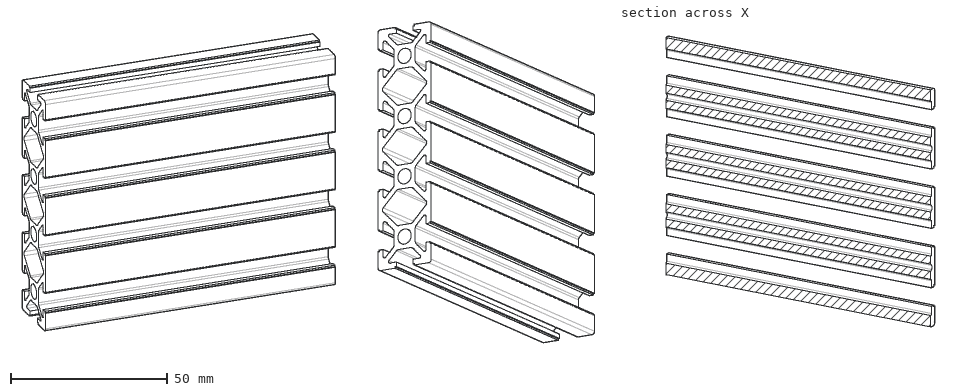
import cadquery as cq
import math

CELL = 20.0
CELL_COUNT = 4
LENGTH = 100.0
HEIGHT = CELL * CELL_COUNT
HALF_CELL = CELL / 2

SLOT_OPENING = 6.2
LIP_THICKNESS = 2.0
CORE_WIDTH = 8.0
WEB_THICKNESS = 1.8
BORE_DIAMETER = 5.0

STEP_WIDTH = 0.5
STEP_DEPTH = 0.5

OUTER_CORNER_RADIUS = 1.0
CORE_CORNER_RADIUS = 1.0
SLOT_CORNER_RADIUS = 0.5
HOLLOW_CORNER_RADIUS = 1.0

CORE_HALF = CORE_WIDTH / 2
WEB_OFFSET = WEB_THICKNESS / math.sqrt(2)
CUT_MARGIN = 1.0


def extrude_along_y(outline):
    """Extrude an XZ outline over the full length, centred on Y = 0."""
    return outline.extrude(LENGTH / 2, both=True)


def make_block():
    """Plain bar with its four long corners rounded."""
    block = extrude_along_y(cq.Workplane("XZ").rect(CELL, HEIGHT))
    return block.edges("|Y").fillet(OUTER_CORNER_RADIUS)


def bar(x_start, x_end, height):
    """Full-length rectangular bar from x_start to x_end, centred on Z = 0."""
    outline = cq.Workplane("XZ").center((x_start + x_end) / 2, 0).rect(x_end - x_start, height)
    return extrude_along_y(outline)


def make_slot():
    """T-slot cutter opening toward +X, with its cell centred on the Y axis."""
    lip_inner = HALF_CELL - LIP_THICKNESS
    lip_half = lip_inner - WEB_OFFSET
    core_flat_half = CORE_HALF - WEB_OFFSET
    chamber = extrude_along_y(
        cq.Workplane("XZ").polyline([
            (CORE_HALF, -core_flat_half),
            (lip_inner, -lip_half),
            (lip_inner, lip_half),
            (CORE_HALF, core_flat_half),
        ]).close()
    )
    chamber = chamber.faces("<X").edges("|Y").fillet(CORE_CORNER_RADIUS)
    chamber = chamber.faces(">X").edges("|Y").fillet(SLOT_CORNER_RADIUS)

    outer = HALF_CELL + CUT_MARGIN
    opening = bar(lip_inner, outer, SLOT_OPENING)
    step = bar(HALF_CELL - STEP_DEPTH, outer, SLOT_OPENING + 2 * STEP_WIDTH)
    return chamber.union(opening).union(step)


def make_hollow():
    """Cutter for the six-sided hollow between two cells, centred on the Y axis."""
    top = HALF_CELL - CORE_HALF
    top_half = CORE_HALF - WEB_OFFSET
    apex = HALF_CELL - WEB_OFFSET
    outline = [
        (-top_half, top),
        (top_half, top),
        (apex, 0),
        (top_half, -top),
        (-top_half, -top),
        (-apex, 0),
    ]
    hollow = extrude_along_y(cq.Workplane("XZ").polyline(outline).close())
    return hollow.edges("|Y").fillet(HOLLOW_CORNER_RADIUS)


def make_bore():
    """Cutter for the round bore through a cell's core."""
    return extrude_along_y(cq.Workplane("XZ").circle(BORE_DIAMETER / 2))


def turned(cutter, angle):
    """Rotate a cutter about the Y axis by an angle in degrees."""
    return cutter.rotate((0, 0, 0), (0, 1, 0), angle)


def make_profile():
    """Cut the bores, slots and hollows of all cells from the block."""
    cell_centres = [(i + 0.5) * CELL - HEIGHT / 2 for i in range(CELL_COUNT)]
    slot = make_slot()
    bore = make_bore()
    hollow = make_hollow()

    profile = make_block()
    for z in cell_centres:
        profile = profile.cut(bore.translate((0, 0, z)))
        for angle in (0, 180):
            profile = profile.cut(turned(slot, angle).translate((0, 0, z)))

    for z in cell_centres[:-1]:
        profile = profile.cut(hollow.translate((0, 0, z + HALF_CELL)))

    profile = profile.cut(turned(slot, 90).translate((0, 0, cell_centres[0])))
    return profile.cut(turned(slot, -90).translate((0, 0, cell_centres[-1])))


result = make_profile()